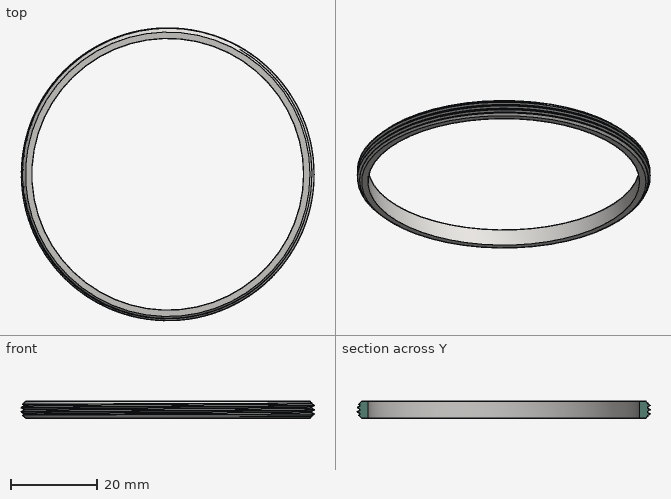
import cadquery as cq
import math

outer_diameter = 68.0
bore_diameter = 63.0
height = 4.0
chamfer = 1.0

pitch = 1.0
flank_half_angle = math.radians(30)
sharp_height = pitch / (2 * math.tan(flank_half_angle))
thread_depth = sharp_height * 5 / 8
root_width = pitch / 4
cutter_clearance = 0.05

outer_radius = outer_diameter / 2
root_radius = outer_radius - thread_depth
cutter_radius = outer_radius + cutter_clearance

groove_start = -1.5 * pitch
groove_length = height + 3 * pitch
rod_margin = 3 * pitch


def make_ring():
    """Plain ring with chamfered outer edges, standing on the XY plane."""
    blank = cq.Workplane("XY").circle(outer_radius).extrude(height).edges().chamfer(chamfer)
    bore = cq.Workplane("XY").circle(bore_diameter / 2).extrude(height)
    return blank.cut(bore)


def make_thread_groove():
    """Trapezoidal thread groove swept along a helix, running past both faces of the ring."""
    root_half = root_width / 2
    mouth_half = root_half + (cutter_radius - root_radius) * math.tan(flank_half_angle)
    helix = cq.Wire.makeHelix(pitch, groove_length, root_radius)
    profile = cq.Workplane("XZ").polyline([
        (root_radius, -root_half),
        (cutter_radius, -mouth_half),
        (cutter_radius, mouth_half),
        (root_radius, root_half),
    ]).close()
    groove = profile.sweep(cq.Workplane(helix), isFrenet=True)
    return groove.translate((0, 0, groove_start))


def make_threaded_rod():
    """Solid rod with the helical thread groove cut into it."""
    rod = cq.Workplane("XY").workplane(offset=-rod_margin).circle(outer_radius)
    return rod.extrude(height + 2 * rod_margin).cut(make_thread_groove())


result = make_threaded_rod().intersect(make_ring())